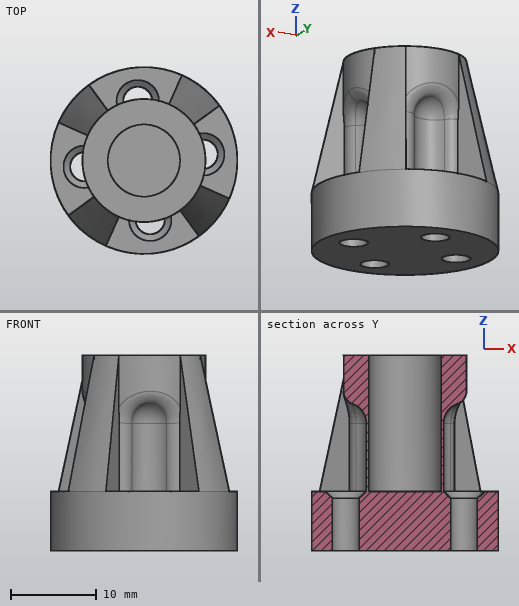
import cadquery as cq
import math

base_diameter = 22.0
base_height = 7.0

neck_diameter = 14.5
total_height = 23.0
neck_height = total_height - base_height
bore_diameter = 8.5
bore_depth = neck_height

station_count = 4
station_spacing = 360.0 / station_count
first_station_angle = 6.0
rib_angle_width = 30.0
screw_circle_radius = 7.0
screw_hole_diameter = 3.4
screw_chamfer_diameter = 5.0
screw_chamfer_depth = (screw_chamfer_diameter - screw_hole_diameter) / 2

clearance_radius = screw_chamfer_diameter / 2
clearance_dome_height = 8.0
clearance_rim_radius = 1.5

match_tolerance = 0.01


def around(shape, start_angle):
    """Copies of a shape built on +X, turned to each station."""
    return [
        shape.rotate((0, 0, 0), (0, 0, 1), start_angle + index * station_spacing)
        for index in range(station_count)
    ]


def screw_clearance():
    """Vertical cylinder standing on the base and closed by a hemisphere."""
    shaft = (
        cq.Workplane("XY", origin=(screw_circle_radius, 0, base_height))
        .circle(clearance_radius)
        .extrude(clearance_dome_height)
    )
    dome_centre = (screw_circle_radius, 0, base_height + clearance_dome_height)
    dome = cq.Workplane("XY").sphere(clearance_radius).translate(dome_centre)
    return shaft.union(dome)


def is_clearance_rim(edge):
    """True for edges on the neck's outer wall that stay between its two ends."""
    middle = edge.positionAt(0.5)
    on_wall = abs(math.hypot(middle.x, middle.y) - neck_diameter / 2) < match_tolerance
    highest = edge.BoundingBox().zmax
    between_ends = base_height + match_tolerance < highest < total_height - match_tolerance
    return on_wall and between_ends


def neck():
    """Solid neck with the screw clearances cut in and their rims rounded."""
    body = cq.Workplane("XY", origin=(0, 0, base_height)).circle(neck_diameter / 2).extrude(neck_height)
    for clearance in around(screw_clearance(), first_station_angle):
        body = body.cut(clearance)
    rims = [edge for edge in body.edges().vals() if is_clearance_rim(edge)]
    return body.newObject(rims).fillet(clearance_rim_radius)


def rib():
    """Wedge of the cone running from the base rim to the top of the neck."""
    inner_radius = bore_diameter / 2
    return (
        cq.Workplane("XZ")
        .moveTo(inner_radius, base_height)
        .lineTo(base_diameter / 2, base_height)
        .lineTo(neck_diameter / 2, total_height)
        .lineTo(inner_radius, total_height)
        .close()
        .revolve(rib_angle_width, (0, 0), (0, 1))
        .rotate((0, 0, 0), (0, 0, 1), -rib_angle_width / 2)
    )


def screw_hole():
    """Through hole in the base with a chamfered mouth."""
    hole = cq.Workplane("XY").circle(screw_hole_diameter / 2).extrude(base_height)
    mouth = cq.Solid.makeCone(
        screw_hole_diameter / 2,
        screw_chamfer_diameter / 2,
        screw_chamfer_depth,
        cq.Vector(0, 0, base_height - screw_chamfer_depth),
    )
    return hole.union(cq.Workplane(mouth)).translate((screw_circle_radius, 0, 0))


def base():
    """Round flange under the neck."""
    return cq.Workplane("XY").circle(base_diameter / 2).extrude(base_height)


def bore():
    """Blind bore down the neck's axis."""
    return cq.Workplane("XY", origin=(0, 0, total_height)).circle(bore_diameter / 2).extrude(-bore_depth)


result = base().union(neck())
first_rib_angle = first_station_angle + station_spacing / 2
for wedge in around(rib(), first_rib_angle):
    result = result.union(wedge)
result = result.cut(bore())
for hole in around(screw_hole(), first_station_angle):
    result = result.cut(hole)